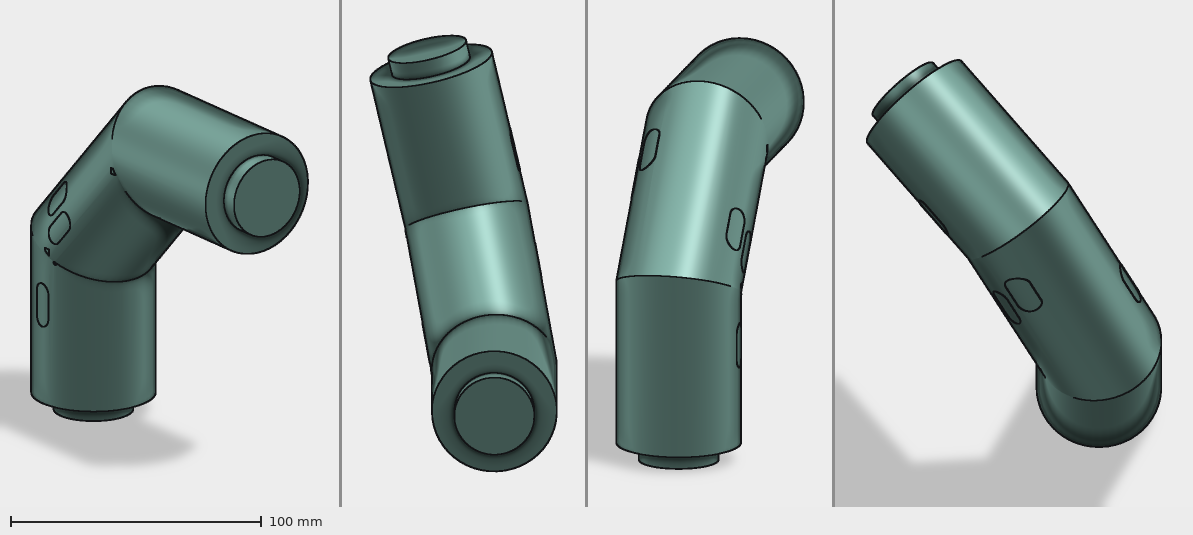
import cadquery as cq
import math

overall = 146.0
pipe_diameter = 50.0
pipe_radius = pipe_diameter / 2
spigot_diameter = 32.0
spigot_length = 7.0
arm_length = 64.0
bend_angle = 45.0

raise_height = 0.1
pad_length = 18.1
pad_width = 8.0
arm_pad_distance = 22.6
front_pads = [(21.2, 11.7), (17.5, 0.6)]
back_pads = [(18.0, 16.8), (25.3, 5.5)]

corner_width = 2.5
corner_height = 2.8
corner_short_side = 1.3
corner_offset_across = 2.2
corner_offset_along = 1.9
spot_length = 1.3
spot_width = 0.6
spot_offset = (7.3, -3.5)

lower_end = (pipe_radius, spigot_length)
lower_joint = (pipe_radius, spigot_length + arm_length)
upper_joint = (overall - spigot_length - arm_length, overall - pipe_radius)
upper_end = (overall - spigot_length, overall - pipe_radius)

FRONT = -1
BACK = 1


def bent_pipe(radius):
    """Round bar along the bent axis, with sharp mitre joints."""
    axis = cq.Workplane("XZ").polyline([lower_end, lower_joint, upper_joint, upper_end])
    profile = cq.Workplane("XY", origin=(lower_end[0], 0, lower_end[1])).circle(radius)
    return profile.sweep(axis, transition="right")


def spigots():
    """Plain round spigot on the end face of each arm."""
    lower = cq.Workplane("XY").center(pipe_radius, 0).circle(spigot_diameter / 2).extrude(lower_end[1])
    upper = (
        cq.Workplane("YZ", origin=(upper_end[0], 0, upper_end[1]))
        .circle(spigot_diameter / 2)
        .extrude(spigot_length)
    )
    return lower.union(upper)


def raised(sketch, side):
    """Raise an XZ outline slightly above the pipe surface on one Y half."""
    prism = sketch.extrude(-side * pipe_diameter)
    return prism.intersect(raised_envelope)


def slot_pad(point, angle, side):
    """Raised slot-shaped pad centred on an XZ point."""
    sketch = cq.Workplane("XZ").center(*point).slot2D(pad_length, pad_width, angle)
    return raised(sketch, side)


def middle_point(start, distance, offset):
    """Point on the middle segment, offset to the outside of the bend."""
    direction = math.radians(bend_angle)
    x = start[0] + distance * math.cos(direction) - offset * math.sin(direction)
    z = start[1] + distance * math.sin(direction) + offset * math.cos(direction)
    return (x, z)


def corner_outlines():
    """Matching corner outlines at the two joints, mirrored about the plane across the bend."""
    near = corner_offset_across
    far = near + corner_width
    top = corner_offset_along
    outline = [
        (near, top),
        (far, top),
        (far, top - corner_height),
        (near, top - corner_short_side),
    ]
    lower = [(lower_joint[0] + across, lower_joint[1] + along) for across, along in outline]
    upper = [(upper_joint[0] - along, upper_joint[1] - across) for across, along in outline]
    return [lower, upper]


def joint_spot():
    """Small raised spot at the lower mitre line, square to the middle segment."""
    x = lower_joint[0] + spot_offset[0]
    z = lower_joint[1] + spot_offset[1]
    sketch = (
        cq.Workplane("XZ", origin=(x, 0, z))
        .transformed(rotate=(0, 0, -bend_angle))
        .rect(spot_length, spot_width)
    )
    return raised(sketch, FRONT)


raised_envelope = bent_pipe(pipe_radius + raise_height)

result = bent_pipe(pipe_radius).union(spigots())

vertical_arm_pad = (lower_joint[0], lower_joint[1] - arm_pad_distance)
horizontal_arm_pad = (upper_joint[0] + arm_pad_distance, upper_joint[1])
result = result.union(slot_pad(vertical_arm_pad, 90, FRONT))
result = result.union(slot_pad(horizontal_arm_pad, 0, BACK))

for distance, offset in front_pads:
    result = result.union(slot_pad(middle_point(lower_joint, distance, offset), bend_angle, FRONT))
for distance, offset in back_pads:
    result = result.union(slot_pad(middle_point(upper_joint, -distance, offset), bend_angle, BACK))

for outline in corner_outlines():
    result = result.union(raised(cq.Workplane("XZ").polyline(outline).close(), FRONT))
result = result.union(joint_spot())